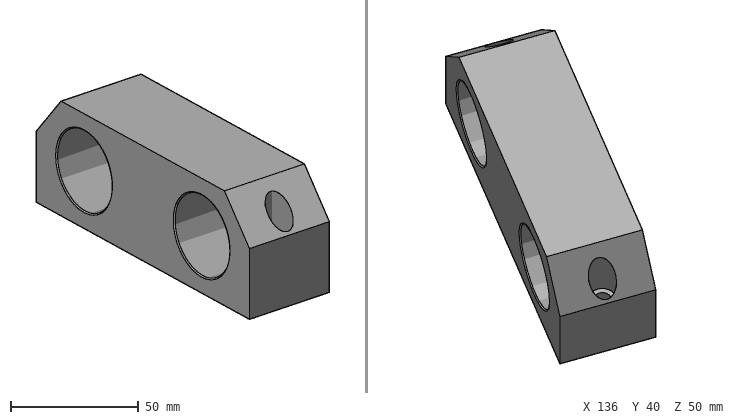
import cadquery as cq

length = 136.0
depth = 40.0
height = 50.0
corner_run = 15.9
corner_drop = 19.2

bore_diameter = 35.0
bore_spacing = 75.0
bore_chamfer = 0.5

screw_spacing = 123.0
screw_diameter = 7.0
head_diameter = 11.0
head_seat_height = height / 2


def block():
    half = length / 2
    shoulder = height - corner_drop
    outline = [
        (-half, 0),
        (half, 0),
        (half, shoulder),
        (half - corner_run, height),
        (-half + corner_run, height),
        (-half, shoulder),
    ]
    return cq.Workplane("XZ").polyline(outline).close().extrude(depth / 2, both=True)


def vertical_cylinder(x, diameter, bottom):
    """Cylinder from the given height up to the top of the block."""
    return cq.Workplane("XY", origin=(x, 0, bottom)).circle(diameter / 2).extrude(height - bottom)


def bore(x):
    """Cutter for a bore, flared at both ends to form the mouth chamfers."""
    radius = bore_diameter / 2
    mouth = radius + bore_chamfer
    end = depth / 2
    profile = [
        (0, -end),
        (mouth, -end),
        (radius, -end + bore_chamfer),
        (radius, end - bore_chamfer),
        (mouth, end),
        (0, end),
    ]
    cutter = cq.Workplane("XY").polyline(profile).close().revolve(360, (0, 0), (0, 1))
    return cutter.translate((x, 0, height / 2))


result = block()
for side in (-1, 1):
    screw_x = side * screw_spacing / 2
    result = result.cut(bore(side * bore_spacing / 2))
    result = result.cut(vertical_cylinder(screw_x, screw_diameter, 0))
    result = result.cut(vertical_cylinder(screw_x, head_diameter, head_seat_height))